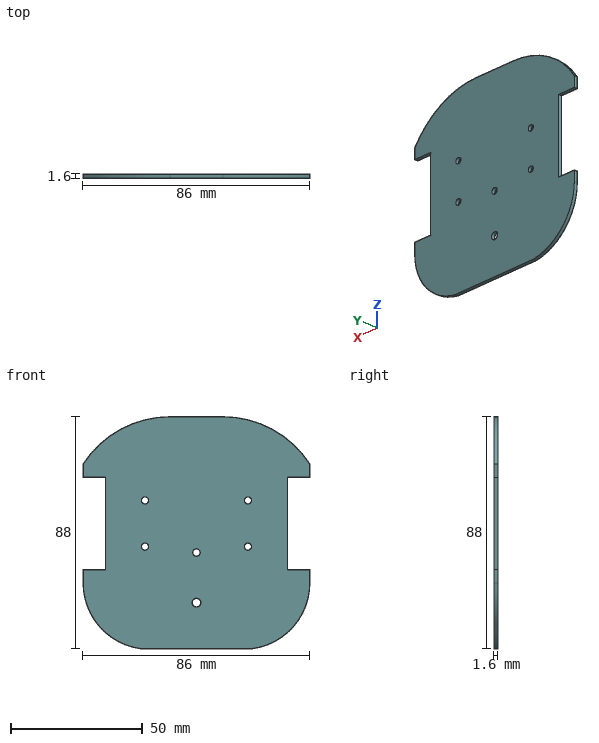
import cadquery as cq
import math

WIDTH = 86.0
HEIGHT = 88.0
THICKNESS = 1.6
HALF_WIDTH = WIDTH / 2
TOP = HEIGHT / 2
BOTTOM = -HEIGHT / 2

CROWN_FLAT_HALF_WIDTH = 10.0
CROWN_DROP = 18.0
CROWN_RUN = HALF_WIDTH - CROWN_FLAT_HALF_WIDTH
CROWN_RADIUS = (CROWN_RUN**2 + CROWN_DROP**2) / (2 * CROWN_DROP)

BOTTOM_FLAT_HALF_WIDTH = 21.0
SIDE_END_DEPTH = 63.0
CORNER_RUN = HALF_WIDTH - BOTTOM_FLAT_HALF_WIDTH
CORNER_DROP = HEIGHT - SIDE_END_DEPTH
CORNER_RADIUS = (CORNER_RUN**2 + CORNER_DROP**2) / (2 * CORNER_RUN)

NOTCH_TOP_DEPTH = 23.0
NOTCH_HEIGHT = 35.0
NOTCH_WIDTH = 8.5
NOTCH_TOP = TOP - NOTCH_TOP_DEPTH
NOTCH_BOTTOM = NOTCH_TOP - NOTCH_HEIGHT

MOUNT_HOLE_DIAMETER = 2.6
MOUNT_SPACING_X = 39.0
MOUNT_SPACING_Z = 17.5
MOUNT_CENTRE_Z = 3.5

UPPER_CENTRE_HOLE_DIAMETER = 2.7
UPPER_CENTRE_HOLE_Z = -7.5
LOWER_CENTRE_HOLE_DIAMETER = 3.2
LOWER_CENTRE_HOLE_Z = -26.5


def point_on_arc(centre_x, centre_z, radius, angle):
    """Point at an angle (radians, from +X towards +Z) on a circle."""
    return (centre_x + radius * math.cos(angle), centre_z + radius * math.sin(angle))


def make_plate():
    """Right half of the outline, extruded and mirrored across the YZ plane."""
    crown_centre_z = TOP - CROWN_RADIUS
    crown_end_angle = math.acos(CROWN_RUN / CROWN_RADIUS)
    crown_mid_angle = (crown_end_angle + math.pi / 2) / 2
    crown_mid = point_on_arc(CROWN_FLAT_HALF_WIDTH, crown_centre_z, CROWN_RADIUS, crown_mid_angle)

    corner_centre_x = HALF_WIDTH - CORNER_RADIUS
    side_end_z = TOP - SIDE_END_DEPTH
    corner_end_angle = -math.acos((BOTTOM_FLAT_HALF_WIDTH - corner_centre_x) / CORNER_RADIUS)
    corner_mid = point_on_arc(corner_centre_x, side_end_z, CORNER_RADIUS, corner_end_angle / 2)

    right_half = (
        cq.Workplane("XZ", origin=(0, THICKNESS / 2, 0))
        .moveTo(0, TOP)
        .lineTo(CROWN_FLAT_HALF_WIDTH, TOP)
        .threePointArc(crown_mid, (HALF_WIDTH, TOP - CROWN_DROP))
        .lineTo(HALF_WIDTH, NOTCH_TOP)
        .lineTo(HALF_WIDTH - NOTCH_WIDTH, NOTCH_TOP)
        .lineTo(HALF_WIDTH - NOTCH_WIDTH, NOTCH_BOTTOM)
        .lineTo(HALF_WIDTH, NOTCH_BOTTOM)
        .lineTo(HALF_WIDTH, side_end_z)
        .threePointArc(corner_mid, (BOTTOM_FLAT_HALF_WIDTH, BOTTOM))
        .lineTo(0, BOTTOM)
        .close()
        .extrude(THICKNESS)
    )
    return right_half.union(right_half.mirror("YZ")).clean()


def make_hole_cutters(centres, diameter):
    """Cylinders through the plate thickness at (x, z) centres."""
    return (
        cq.Workplane("XZ", origin=(0, THICKNESS / 2, 0))
        .pushPoints(centres)
        .circle(diameter / 2)
        .extrude(THICKNESS)
    )


mount_centres = [
    (side * MOUNT_SPACING_X / 2, MOUNT_CENTRE_Z + level * MOUNT_SPACING_Z / 2)
    for side in (-1, 1)
    for level in (-1, 1)
]

result = make_plate()
result = result.cut(make_hole_cutters(mount_centres, MOUNT_HOLE_DIAMETER))
result = result.cut(make_hole_cutters([(0, UPPER_CENTRE_HOLE_Z)], UPPER_CENTRE_HOLE_DIAMETER))
result = result.cut(make_hole_cutters([(0, LOWER_CENTRE_HOLE_Z)], LOWER_CENTRE_HOLE_DIAMETER))